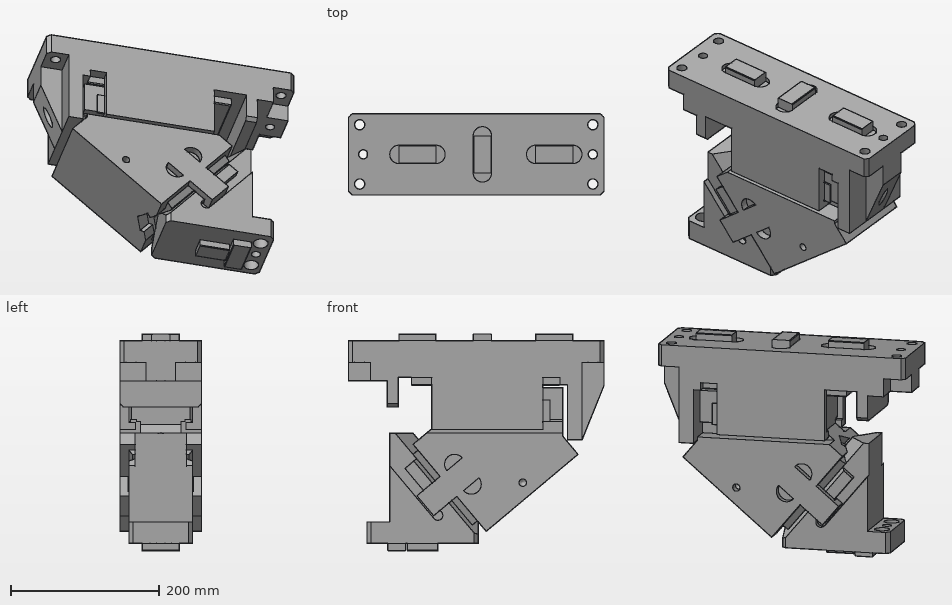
import cadquery as cq
import math


SIDES = (-1, 1)

LENGTH = 345
WIDTH = 110.0
HEIGHT = 293.0
HALF_WIDTH = WIDTH / 2

KEY_LENGTH = 50.0
KEY_WIDTH = 25.0
KEY_CHAMFER = 1.0
TOP_KEY_HEIGHT = 9.3
BASE_KEY_HEIGHT = 10.0
KEY_POCKET_LENGTH = 75.0
KEY_POCKET_DEPTH = 6.0

PLATE_THICKNESS = 29.3
PLATE_TOP = HEIGHT - TOP_KEY_HEIGHT
PLATE_BOTTOM = PLATE_TOP - PLATE_THICKNESS
PLATE_CHAMFER = 5.2
END_NOTCH_LENGTH = 29.5
GUSSET_START = LENGTH - END_NOTCH_LENGTH
GUSSET_TOE_Z = 223.0
TONGUE_WIDTH = 39.5
END_BLOCK_BOTTOM = 229.5
UNDERSIDE_Z = 234.3

LEFT_LEG_START = 52.0
LEFT_LEG_END = 67.3
LEFT_LEG_BOTTOM = 194.0
LEG_CHAMFER = 5.0
RIGHT_LEG_START = 295.3
RIGHT_LEG_BOTTOM = 149.7
RIGHT_STEP_START = 285.3
RIGHT_STEP_Z = 224.0

ARM_START = 112.0
ARM_END = 262.5
ARM_BOTTOM = 164.0
LIP_TOP = 173.2
LIP_GAP = 67.5
SLOT_WIDTH = 86.2
WEAR_PLATE_START = 85.0
WEAR_PLATE_WIDTH = 82.8
WEAR_PLATE_BOTTOM = 223.0
WEAR_PLATE_CHAMFER = 1.5

SCREW_HOLE_DIAMETER = 13.5
DOWEL_DIAMETER = 12.0
SCREW_HOLE_INSET = 15.2
SCREW_HOLE_Y = 40.0
LEFT_DOWEL_X = 20.0
RIGHT_DOWEL_X = LENGTH - SCREW_HOLE_INSET

SLOPE_ANGLE = math.radians(50)
SLIDE_ORIGIN_X = 87.3
SLIDE_ORIGIN_Z = 144.0

SLIDER_ALONG = 153.5
SLIDER_DEPTH = 161.8
SLIDER_END_X = 289.5
SHOULDER_Z = 159.0

WEB_WIDTH = 55.2
WEB_BEVEL_TOP = 170.5
NECK_WIDTH = 65.0
NECK_BOTTOM = 174.5
FLANGE_WIDTH = 81.5
FLANGE_BOTTOM = 177.0
FLANGE_TOP = 220.5
FLANGE_CHAMFER = 1.0
SIDE_PAD_END = 272.2
SIDE_PAD_TOP = 204.0
SIDE_PAD_TAPER = 1.5

GROOVE_CLEARANCE = 5.5
GROOVE_RELIEF_Y = 16.2
GROOVE_RELIEF_STEP = 7
SHOE_START = 10.5
SHOE_END = 135.0
SHOE_ROOT_Y = 43.0
SHOE_TIP_Y = 38.3

RETAINER_START = 56.5
RETAINER_END = 91.8
RETAINER_BOTTOM = -40.7
RETAINER_INNER_Y = 44.5
RETAINER_FOOT_Y = 35.2
RETAINER_FOOT_HEIGHT = 10.0
RETAINER_SEAT_DEPTH = 25.5
RETAINER_SEAT_RADIUS = 13.5
DRILL_X = 235.3
DRILL_Z = 92.0
DRILL_DIAMETER = 10.0
DRILL_DEPTH = 13.8
DRILL_TIP_ANGLE = math.radians(118)

RIDGE_HALF_WIDTH = 2.5
RIDGE_DEPTH = 9.5
ROOF_ANGLE = math.radians(30)
ROOF_REACH = 414

BASE_START = 25.0
BASE_END = 175.3
BASE_BOTTOM = BASE_KEY_HEIGHT
BASE_WIDTH = 86.2
BASE_CHAMFER = 5.5
FOOT_TOP = 39.5
COLUMN_START = 55.5
COLUMN_TOP = 159.0
COLUMN_HALF_WIDTH = 34.5
CHANNEL_FLOOR = -42.8
CHANNEL_WIDTH = 13.5
CHANNEL_END = 95.0
RAIL_START = 18.0
BASE_HOLE_X = 39.7
BASE_HOLE_Y = 25.0
BASE_SCREW_DIAMETER = 20.0
CROSS_KEY_X = 65.2
LONG_KEY_START = 79.7
LONG_KEY_LENGTH = 41.0


def box(x_range, y_range, z_range):
    """Box between the given X, Y and Z limits."""
    size = [high - low for low, high in (x_range, y_range, z_range)]
    corner = (x_range[0], y_range[0], z_range[0])
    return cq.Workplane("XY").box(*size, centered=False).translate(corner)


def centred_box(x_range, width, z_range):
    """Box of the given width, centred on the plane of symmetry."""
    return box(x_range, (-width / 2, width / 2), z_range)


def side_slab(points, inner_y, outer_y, side=1):
    """XZ outline extruded between two Y distances, on one side of the plane of symmetry."""
    near_face = max(side * inner_y, side * outer_y)
    plane = cq.Workplane("XZ", origin=(0, near_face, 0))
    return plane.polyline(points).close().extrude(outer_y - inner_y)


def slab(points, width):
    """XZ outline extruded symmetrically about the plane of symmetry."""
    return side_slab(points, -width / 2, width / 2)


def slide_point(along, depth):
    """XZ place of a point given in the slide frame."""
    x = SLIDE_ORIGIN_X + along * math.cos(SLOPE_ANGLE) + depth * math.sin(SLOPE_ANGLE)
    z = SLIDE_ORIGIN_Z - along * math.sin(SLOPE_ANGLE) + depth * math.cos(SLOPE_ANGLE)
    return (x, z)


def slide_rectangle(along_range, depth_range):
    """Four XZ corners of a rectangle in the slide frame."""
    (start, end), (low, high) = along_range, depth_range
    return [slide_point(start, low), slide_point(end, low), slide_point(end, high), slide_point(start, high)]


def slide_prism(section, start, end):
    """(Y, depth) section extruded down the slope between two along places."""
    x, z = slide_point(start, 0)
    slope_direction = (math.cos(SLOPE_ANGLE), 0, -math.sin(SLOPE_ANGLE))
    plane = cq.Plane(origin=(x, 0, z), xDir=(0, 1, 0), normal=slope_direction)
    return cq.Workplane(plane).polyline(section).close().extrude(end - start)


def vertical_holes(points, diameter):
    """Cylinders that cut through the full height at the given XY points."""
    return cq.Workplane("XY").pushPoints(points).circle(diameter / 2).extrude(HEIGHT)


def roof_depth(y):
    """Depth of the roof flank at a distance from the plane of symmetry."""
    return RIDGE_DEPTH - (y - RIDGE_HALF_WIDTH) * math.tan(ROOF_ANGLE)


def roof_prism():
    """Everything under the two flanks and the narrow ridge of the guide."""
    edge_y = BASE_WIDTH / 2
    half = [(RIDGE_HALF_WIDTH, RIDGE_DEPTH), (edge_y, roof_depth(edge_y)), (edge_y, -ROOF_REACH)]
    mirrored = [(-y, depth) for y, depth in reversed(half)]
    return slide_prism(half + mirrored, -ROOF_REACH, ROOF_REACH)



def driver_body():
    """Plate, full-width end block, both legs, arms block, tongue and gusset."""
    plate = centred_box((0, LENGTH), WIDTH, (PLATE_BOTTOM, PLATE_TOP))
    plate = plate.edges("|Z").chamfer(PLATE_CHAMFER)
    outline = [
        (END_NOTCH_LENGTH, PLATE_BOTTOM),
        (END_NOTCH_LENGTH, END_BLOCK_BOTTOM),
        (LEFT_LEG_END, END_BLOCK_BOTTOM),
        (LEFT_LEG_END, UNDERSIDE_Z),
        (ARM_START, UNDERSIDE_Z),
        (ARM_START, ARM_BOTTOM),
        (ARM_END, ARM_BOTTOM),
        (ARM_END, UNDERSIDE_Z),
        (RIGHT_STEP_START, UNDERSIDE_Z),
        (RIGHT_STEP_START, RIGHT_STEP_Z),
        (RIGHT_LEG_START, RIGHT_STEP_Z),
        (RIGHT_LEG_START, RIGHT_LEG_BOTTOM),
        (GUSSET_START, RIGHT_LEG_BOTTOM),
        (GUSSET_START, PLATE_BOTTOM),
    ]
    body = slab(outline, WIDTH)
    left_leg = centred_box((LEFT_LEG_START, LEFT_LEG_END), WIDTH, (LEFT_LEG_BOTTOM, END_BLOCK_BOTTOM))
    left_leg = left_leg.faces("<Z").edges("|X").chamfer(LEG_CHAMFER)
    tongue = centred_box((0, END_NOTCH_LENGTH), TONGUE_WIDTH, (END_BLOCK_BOTTOM, PLATE_BOTTOM))
    gusset_outline = [
        (GUSSET_START, PLATE_BOTTOM),
        (LENGTH, PLATE_BOTTOM),
        (LENGTH, GUSSET_TOE_Z),
        (GUSSET_START, RIGHT_LEG_BOTTOM),
    ]
    gusset = slab(gusset_outline, TONGUE_WIDTH)
    return plate.union(body).union(left_leg).union(tongue).union(gusset)


def t_slot():
    """Slot between the arms, narrowed by a lip at the bottom of each arm."""
    slot = centred_box((ARM_START, ARM_END), SLOT_WIDTH, (LIP_TOP, UNDERSIDE_Z))
    mouth = centred_box((ARM_START, ARM_END), LIP_GAP, (ARM_BOTTOM, LIP_TOP))
    return slot.union(mouth)


def wear_plate():
    """Plate under the driver that the slider's flange runs against."""
    plate = centred_box(
        (WEAR_PLATE_START, RIGHT_STEP_START), WEAR_PLATE_WIDTH, (WEAR_PLATE_BOTTOM, UNDERSIDE_Z)
    )
    return plate.faces("<Z").edges().chamfer(WEAR_PLATE_CHAMFER)


def top_key(x, angle):
    """Chamfered key that stands on the floor of its pocket."""
    height = KEY_POCKET_DEPTH + TOP_KEY_HEIGHT
    key = cq.Workplane("XY").box(KEY_LENGTH, KEY_WIDTH, height, centered=(True, True, False))
    key = key.faces(">Z").edges("|X").chamfer(KEY_CHAMFER)
    key = key.rotate((0, 0, 0), (0, 0, 1), angle)
    return key.translate((x, 0, PLATE_TOP - KEY_POCKET_DEPTH))


def top_key_pocket(x, angle):
    """Round-ended pocket for a top key."""
    pocket = cq.Workplane("XY").slot2D(KEY_POCKET_LENGTH, KEY_WIDTH, angle).extrude(KEY_POCKET_DEPTH)
    return pocket.translate((x, 0, PLATE_TOP - KEY_POCKET_DEPTH))


TOP_KEYS = [(93, 0), (180.8, 90), (277.7, 0)]


def make_driver():
    driver = driver_body().cut(t_slot()).union(wear_plate())
    for x, angle in TOP_KEYS:
        driver = driver.cut(top_key_pocket(x, angle)).union(top_key(x, angle))
    screw_points = [
        (x, side * SCREW_HOLE_Y)
        for x in (SCREW_HOLE_INSET, LENGTH - SCREW_HOLE_INSET)
        for side in SIDES
    ]
    driver = driver.cut(vertical_holes(screw_points, SCREW_HOLE_DIAMETER))
    return driver.cut(vertical_holes([(LEFT_DOWEL_X, 0), (RIGHT_DOWEL_X, 0)], DOWEL_DIAMETER))



def bevel_x(z):
    """X of the slider's upper-left end face at a height."""
    return SLIDE_ORIGIN_X + (z - SLIDE_ORIGIN_Z) * math.tan(SLOPE_ANGLE)


FLANGE_START = bevel_x(WEB_BEVEL_TOP)


def slider_block():
    """Full-width wedge block with its sliding face on the slope."""
    far_x, far_z = slide_point(SLIDER_ALONG, SLIDER_DEPTH)
    end_corner_z = far_z + (far_x - SLIDER_END_X) * math.tan(SLOPE_ANGLE)
    outline = [
        slide_point(0, 0),
        slide_point(SLIDER_ALONG, 0),
        (far_x, far_z),
        (SLIDER_END_X, end_corner_z),
        (SLIDER_END_X, SHOULDER_Z),
        (bevel_x(SHOULDER_Z), SHOULDER_Z),
    ]
    return slab(outline, WIDTH)


def slider_t_rail():
    """Web, neck, flange and side pads that run in the driver's T-slot."""
    web_outline = [
        (bevel_x(SHOULDER_Z), SHOULDER_Z),
        (SLIDER_END_X, SHOULDER_Z),
        (SLIDER_END_X, NECK_BOTTOM),
        (FLANGE_START, NECK_BOTTOM),
        (FLANGE_START, WEB_BEVEL_TOP),
    ]
    span = (FLANGE_START, SLIDER_END_X)
    rail = slab(web_outline, WEB_WIDTH)
    rail = rail.union(centred_box(span, NECK_WIDTH, (NECK_BOTTOM, FLANGE_BOTTOM)))
    flange = centred_box(span, FLANGE_WIDTH, (FLANGE_BOTTOM, FLANGE_TOP))
    flange = flange.faces("<X").edges("|Z").chamfer(FLANGE_CHAMFER)
    return rail.union(flange).union(side_pads())


def side_pads():
    """Pads on both sides of the flange, tapered to a lead-in at the left end."""
    root_y = FLANGE_WIDTH / 2
    face_y = SLOT_WIDTH / 2
    pad_start = FLANGE_START + FLANGE_CHAMFER
    half = [(pad_start, root_y), (pad_start + SIDE_PAD_TAPER, face_y), (SIDE_PAD_END, face_y)]
    mirrored = [(x, -y) for x, y in reversed(half)]
    block = cq.Workplane("XY", origin=(0, 0, NECK_BOTTOM)).polyline(half + mirrored).close()
    block = block.extrude(SIDE_PAD_TOP - NECK_BOTTOM)
    neck_clearance = centred_box((0, LENGTH), FLANGE_WIDTH, (NECK_BOTTOM, FLANGE_BOTTOM))
    return block.cut(neck_clearance)


def groove_depth(y):
    """Depth of the groove flank at a distance from the plane of symmetry."""
    return roof_depth(y) + GROOVE_CLEARANCE


def groove(start, end):
    """Stretch of V-groove that clears the roof of the base, with a deeper relief over the ridge."""
    step_y = GROOVE_RELIEF_Y + GROOVE_RELIEF_STEP * math.sin(ROOF_ANGLE)
    step_depth = groove_depth(GROOVE_RELIEF_Y) + GROOVE_RELIEF_STEP * math.cos(ROOF_ANGLE)
    half = [
        (step_y, step_depth),
        (GROOVE_RELIEF_Y, groove_depth(GROOVE_RELIEF_Y)),
        (SHOE_ROOT_Y, groove_depth(SHOE_ROOT_Y)),
    ]
    apex = (0, step_depth + step_y * math.tan(ROOF_ANGLE))
    mirrored = [(-y, depth) for y, depth in reversed(half)]
    return slide_prism([apex] + half + mirrored, start, end)


def guide_shoe():
    """Raised shoe with leaning sides, below the sliding face."""
    tip_depth = roof_depth(COLUMN_HALF_WIDTH)
    half = [(SHOE_ROOT_Y, 0), (SHOE_TIP_Y, tip_depth)]
    mirrored = [(-y, depth) for y, depth in reversed(half)]
    return slide_prism(half + mirrored, SHOE_START, SHOE_END)


def retainer_seat(side):
    """Round-ended pocket in one side of the slider, at the retainer."""
    straight = slide_rectangle(
        (RETAINER_START, RETAINER_END),
        (RETAINER_SEAT_DEPTH - RETAINER_SEAT_RADIUS, RETAINER_SEAT_DEPTH + RETAINER_SEAT_RADIUS),
    )
    seat = side_slab(straight, RETAINER_INNER_Y, HALF_WIDTH, side)
    near_face = max(side * RETAINER_INNER_Y, side * HALF_WIDTH)
    centres = [slide_point(along, RETAINER_SEAT_DEPTH) for along in (RETAINER_START, RETAINER_END)]
    ends = cq.Workplane("XZ", origin=(0, near_face, 0)).pushPoints(centres)
    return seat.union(ends.circle(RETAINER_SEAT_RADIUS).extrude(HALF_WIDTH - RETAINER_INNER_Y))


def retainer(side):
    """Side arm with an inward foot that hooks under the base rail."""
    span = (RETAINER_START, RETAINER_END)
    arm_top = RETAINER_SEAT_DEPTH + RETAINER_SEAT_RADIUS
    foot_top = RETAINER_BOTTOM + RETAINER_FOOT_HEIGHT
    arm_outline = slide_rectangle(span, (RETAINER_BOTTOM, arm_top))
    foot_outline = slide_rectangle(span, (RETAINER_BOTTOM, foot_top))
    arm = side_slab(arm_outline, RETAINER_INNER_Y, HALF_WIDTH, side)
    return arm.union(side_slab(foot_outline, RETAINER_FOOT_Y, RETAINER_INNER_Y, side))


def drilled_hole(side):
    """Blind hole with a drill-point bottom in one side of the slider."""
    radius = DRILL_DIAMETER / 2
    tip_depth = DRILL_DEPTH + radius / math.tan(DRILL_TIP_ANGLE / 2)
    half_section = [(0, 0), (radius, 0), (radius, DRILL_DEPTH), (0, tip_depth)]
    hole = cq.Workplane("XY").polyline(half_section).close().revolve(360, (0, 0), (0, 1))
    if side > 0:
        hole = hole.mirror("XZ")
    return hole.translate((DRILL_X, side * HALF_WIDTH, DRILL_Z))


def make_slider():
    slider = slider_block().union(slider_t_rail()).union(guide_shoe()).cut(roof_prism())
    slider = slider.cut(groove(0, SHOE_START)).cut(groove(SHOE_END, SLIDER_ALONG))
    for side in SIDES:
        slider = slider.cut(retainer_seat(side)).union(retainer(side)).cut(drilled_hole(side))
    return slider



def base_body():
    """Foot and column, topped by the roof-shaped guide."""
    outline = [
        (BASE_START, BASE_BOTTOM),
        (BASE_END, BASE_BOTTOM),
        (BASE_END, COLUMN_TOP),
        (COLUMN_START, COLUMN_TOP),
        (COLUMN_START, FOOT_TOP),
        (BASE_START, FOOT_TOP),
    ]
    footprint = centred_box((BASE_START, BASE_END), BASE_WIDTH, (BASE_BOTTOM, COLUMN_TOP))
    footprint = footprint.edges("|Z").chamfer(BASE_CHAMFER)
    return footprint.intersect(slab(outline, BASE_WIDTH)).intersect(roof_prism())


def side_relief(side):
    """Cut that narrows the column above the channel and leaves the rail beside the guide."""
    outer_y = BASE_WIDTH / 2
    radius = CHANNEL_WIDTH / 2
    top_outline = slide_rectangle((-ROOF_REACH, RAIL_START), (CHANNEL_FLOOR, ROOF_REACH))
    channel_outline = slide_rectangle(
        (RAIL_START, CHANNEL_END), (CHANNEL_FLOOR, CHANNEL_FLOOR + CHANNEL_WIDTH)
    )
    relief = side_slab(top_outline, COLUMN_HALF_WIDTH, outer_y, side)
    relief = relief.union(side_slab(channel_outline, COLUMN_HALF_WIDTH, outer_y, side))
    near_face = max(side * COLUMN_HALF_WIDTH, side * outer_y)
    channel_end = cq.Workplane("XZ", origin=(0, near_face, 0))
    channel_end = channel_end.pushPoints([slide_point(CHANNEL_END, CHANNEL_FLOOR + radius)]).circle(radius)
    return relief.union(channel_end.extrude(outer_y - COLUMN_HALF_WIDTH))


def base_keys():
    """Cross key and lengthwise key under the base, with chamfered long edges."""
    cross_key = centred_box(
        (CROSS_KEY_X - KEY_WIDTH / 2, CROSS_KEY_X + KEY_WIDTH / 2), KEY_LENGTH, (0, BASE_BOTTOM)
    )
    cross_key = cross_key.faces("<Z").edges("|Y").chamfer(KEY_CHAMFER)
    long_key = centred_box((LONG_KEY_START, LONG_KEY_START + LONG_KEY_LENGTH), KEY_WIDTH, (0, BASE_BOTTOM))
    long_key = long_key.faces("<Z").edges("|X").chamfer(KEY_CHAMFER)
    return cross_key, long_key


def make_base():
    base = base_body()
    for side in SIDES:
        base = base.cut(side_relief(side))
    for key in base_keys():
        base = base.union(key)
    screw_points = [(BASE_HOLE_X, side * BASE_HOLE_Y) for side in SIDES]
    base = base.cut(vertical_holes(screw_points, BASE_SCREW_DIAMETER))
    return base.cut(vertical_holes([(BASE_HOLE_X, 0)], DOWEL_DIAMETER))


driver = make_driver()
slider = make_slider()
base = make_base()

result = cq.Compound.makeCompound([part.solids().val() for part in (driver, slider, base)])